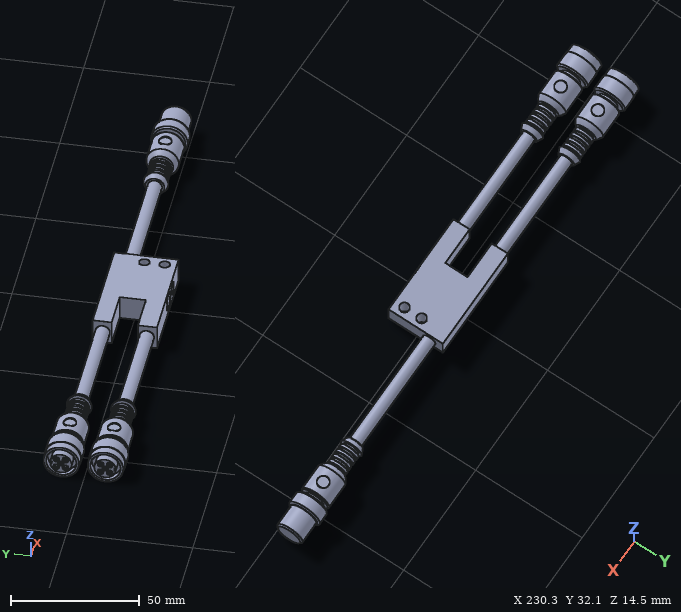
import cadquery as cq
import math

total_length = 230.3
socket_offset = 8.8
plug_offset = 6.5
cable_diameter = 5.8

block_start = 87.5
block_length = 45.1
block_width = 25.5
block_height = 10.1
block_end = block_start + block_length
slot_depth = 16.8
slot_width = 10.4
mount_hole_diameter = 4.1
mount_hole_inset = 4.1
mount_hole_x = block_end - mount_hole_inset
mount_hole_ys = (0.0, -8.0)
lens_diameter = 7.5
lens_x = 112.2
lens_depth = 0.2
screw_diameter = 5.0
screw_x = 120.5
screw_recess = 0.2
screw_slot_width = 1.2
screw_slot_depth = 1.0
screw_slot_angle = -45.0

grip_diameter = 13.0
grip_length = 11.7
grip_edge = 0.5
shoulder_length = 2.5
shoulder_diameter = 9.5
shoulder_bulge = 0.14
core_diameter = 7.0
rib_diameter = 8.5
rib_width = 1.4
rib_pitch = 2.5
rib_count = 4
first_rib = 15.2
flange_start = first_rib + rib_count * rib_pitch
flange_diameter = 10.0
flange_length = 2.5
tail_diameter = 7.5
tail_end = flange_start + flange_length
button_diameter = 5.0
button_depth = 0.53
neck_diameter = 8.5

socket_grip_x = 13.1
insert_diameter = 8.5
insert_lip = 1.0
socket_nut_end = 11.5
nut_diameter = 14.5
nut_front_diameter = 14.0
nut_step_x = 4.5
nut_edge = 0.7
nut_bore_diameter = 12.0
nut_bore_depth = 3.2
contact_diameter = 1.0
contact_mouth_diameter = 2.3
contact_mouth_depth = 0.7
contact_circle_radius = 2.5
contact_depth = 2.3
contact_count = 4
first_contact_angle = 45.0
key_diameter = 1.4

plug_grip_x = 212.3
plug_nut_start = 214.0
plug_nut_end = 220.2
plug_sleeve_diameter = 12.0
plug_tip_edge = 0.7


def rod(diameter, start, end):
    """Round rod along X on the X axis."""
    return cq.Workplane("YZ", origin=(start, 0, 0)).circle(diameter / 2).extrude(end - start)


def make_grip():
    """Grip with its open end at X = 0 and its cable tail toward +X."""
    radius = grip_diameter / 2
    shoulder_end = grip_length + shoulder_length
    bulge_point = (
        grip_length + shoulder_length / 2 + shoulder_bulge,
        (radius + shoulder_diameter / 2) / 2 + shoulder_bulge,
    )
    body = (
        cq.Workplane("XY")
        .moveTo(0, 0)
        .lineTo(0, radius - grip_edge)
        .lineTo(grip_edge, radius)
        .lineTo(grip_length, radius)
        .threePointArc(bulge_point, (shoulder_end, shoulder_diameter / 2))
        .lineTo(shoulder_end, core_diameter / 2)
        .lineTo(flange_start, core_diameter / 2)
        .lineTo(flange_start, flange_diameter / 2)
        .lineTo(tail_end, tail_diameter / 2)
        .lineTo(tail_end, 0)
        .close()
        .revolve(360, (0, 0, 0), (1, 0, 0))
    )
    for index in range(rib_count):
        rib_start = first_rib + index * rib_pitch
        body = body.union(rod(rib_diameter, rib_start, rib_start + rib_width))
    button_recess = (
        cq.Workplane("XY", origin=(grip_length / 2, 0, radius - button_depth))
        .circle(button_diameter / 2)
        .extrude(2 * button_depth)
    )
    return body.cut(button_recess)


def make_socket(key_side):
    """Socket connector with cable, on the X axis; key_side is the Y sign of its key groove."""
    nut_rear = rod(nut_diameter, nut_step_x, socket_nut_end).faces(">X").chamfer(nut_edge)
    nut_front = rod(nut_front_diameter, insert_lip, nut_step_x)
    bore = rod(nut_bore_diameter, insert_lip, insert_lip + nut_bore_depth)
    insert = rod(insert_diameter, 0, nut_step_x)
    neck = rod(neck_diameter, nut_step_x, socket_grip_x)
    grip = make_grip().translate((socket_grip_x, 0, 0))
    cable = rod(cable_diameter, socket_grip_x + flange_start, block_start)
    contact_points = [(0, 0)]
    for index in range(contact_count):
        angle = math.radians(first_contact_angle + 360 * index / contact_count)
        contact_y = contact_circle_radius * math.cos(angle)
        contact_z = contact_circle_radius * math.sin(angle)
        contact_points.append((contact_y, contact_z))
    contact_layout = cq.Workplane("YZ").pushPoints(contact_points)
    contacts = contact_layout.circle(contact_diameter / 2).extrude(contact_depth)
    mouths = contact_layout.circle(contact_mouth_diameter / 2).extrude(contact_mouth_depth)
    key_groove = rod(key_diameter, 0, insert_lip).translate((0, key_side * insert_diameter / 2, 0))
    socket = nut_rear.union(nut_front).cut(bore).union(insert).union(neck).union(grip).union(cable)
    return socket.cut(contacts).cut(mouths).cut(key_groove)


def make_plug():
    """Plug connector with cable, on the X axis, pointing toward +X."""
    nut = rod(nut_diameter, plug_nut_start, plug_nut_end).faces("<X or >X").chamfer(nut_edge)
    sleeve = rod(plug_sleeve_diameter, plug_nut_end, total_length).faces(">X").chamfer(plug_tip_edge)
    neck = rod(neck_diameter, plug_grip_x, plug_nut_start)
    grip = make_grip().mirror("YZ").translate((plug_grip_x, 0, 0))
    cable = rod(cable_diameter, block_end, plug_grip_x - flange_start)
    return nut.union(sleeve).union(neck).union(grip).union(cable)


def make_block():
    """Forked splitter block with mounting holes and a lens and screw on its -Y side."""
    block = cq.Workplane("XY").box(block_length, block_width, block_height)
    block = block.translate((block_start + block_length / 2, 0, 0))
    slot = cq.Workplane("XY").box(2 * slot_depth, slot_width, block_height)
    block = block.cut(slot.translate((block_start, 0, 0)))
    mount_holes = (
        cq.Workplane("XY", origin=(0, 0, -block_height / 2))
        .pushPoints([(mount_hole_x, y) for y in mount_hole_ys])
        .circle(mount_hole_diameter / 2)
        .extrude(block_height)
    )
    side = cq.Workplane("XZ", origin=(0, -block_width / 2, 0))
    lens_recess = side.center(lens_x, 0).circle(lens_diameter / 2).extrude(-lens_depth)
    screw_seat = side.center(screw_x, 0).circle(screw_diameter / 2).extrude(-screw_recess)
    screw_slot = (
        side.center(screw_x, 0)
        .transformed(rotate=(0, 0, screw_slot_angle))
        .rect(screw_diameter, screw_slot_width)
        .extrude(-screw_slot_depth)
        .intersect(side.center(screw_x, 0).circle(screw_diameter / 2).extrude(-screw_slot_depth))
    )
    return block.cut(mount_holes).cut(lens_recess).cut(screw_seat).cut(screw_slot)


result = make_block().union(make_plug().translate((0, plug_offset, 0)))
for side_sign in (-1, 1):
    result = result.union(make_socket(side_sign).translate((0, side_sign * socket_offset, 0)))